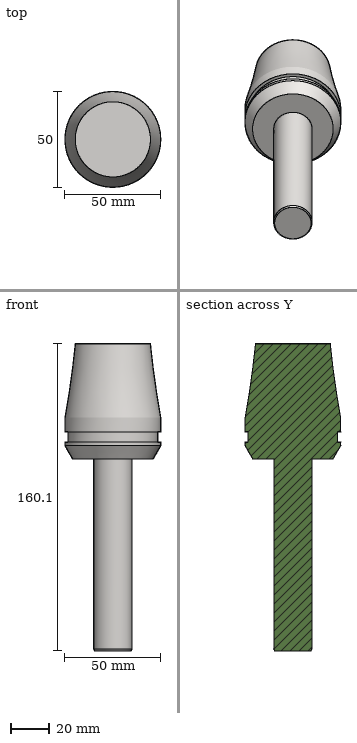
import cadquery as cq
import math

total_length = 160.05
head_length = 60.05
head_diameter = 50.01
shank_diameter = 20.0

crown_top_diameter = 39.2
crown_height = 38.6
crown_curve_radius = 500.0
upper_band_height = 7.3
groove_diameter = 46.81
groove_width = 5.3
lower_band_height = 1.9
underside_angle = 30.0

tip_chamfer_height = 1.0
tip_chamfer_width = 0.5

head_top = head_length
crown_base = head_top - crown_height
groove_top = crown_base - upper_band_height
groove_base = groove_top - groove_width
underside_top = groove_base - lower_band_height
shank_end = head_length - total_length

head_radius = head_diameter / 2
crown_top_radius = crown_top_diameter / 2
underside_radius = head_radius - underside_top * math.tan(math.radians(underside_angle))


def crown_arc_middle():
    """Middle point (radius, height) of the crown's concave arc."""
    radial_run = head_radius - crown_top_radius
    chord = math.hypot(radial_run, crown_height)
    half_chord = chord / 2
    sagitta = crown_curve_radius - math.sqrt(crown_curve_radius**2 - half_chord**2)
    middle_radius = (head_radius + crown_top_radius) / 2 - sagitta * crown_height / chord
    middle_height = (head_top + crown_base) / 2 - sagitta * radial_run / chord
    return middle_radius, middle_height


def make_head():
    """Head revolved about Z from its half profile."""
    return (
        cq.Workplane("XZ")
        .moveTo(0, 0)
        .lineTo(underside_radius, 0)
        .lineTo(head_radius, underside_top)
        .lineTo(head_radius, crown_base)
        .threePointArc(crown_arc_middle(), (crown_top_radius, head_top))
        .lineTo(0, head_top)
        .close()
        .revolve(360, (0, 0, 0), (0, 1, 0))
    )


def make_groove():
    """Ring of material removed around the straight band."""
    return (
        cq.Workplane("XY")
        .workplane(offset=groove_base)
        .circle(head_diameter)
        .circle(groove_diameter / 2)
        .extrude(groove_width)
    )


def make_shank():
    """Round shank below the head, chamfered at its free end."""
    shank_radius = shank_diameter / 2
    return (
        cq.Workplane("XZ")
        .moveTo(0, 0)
        .lineTo(shank_radius, 0)
        .lineTo(shank_radius, shank_end + tip_chamfer_height)
        .lineTo(shank_radius - tip_chamfer_width, shank_end)
        .lineTo(0, shank_end)
        .close()
        .revolve(360, (0, 0, 0), (0, 1, 0))
    )


result = make_head().cut(make_groove()).union(make_shank())